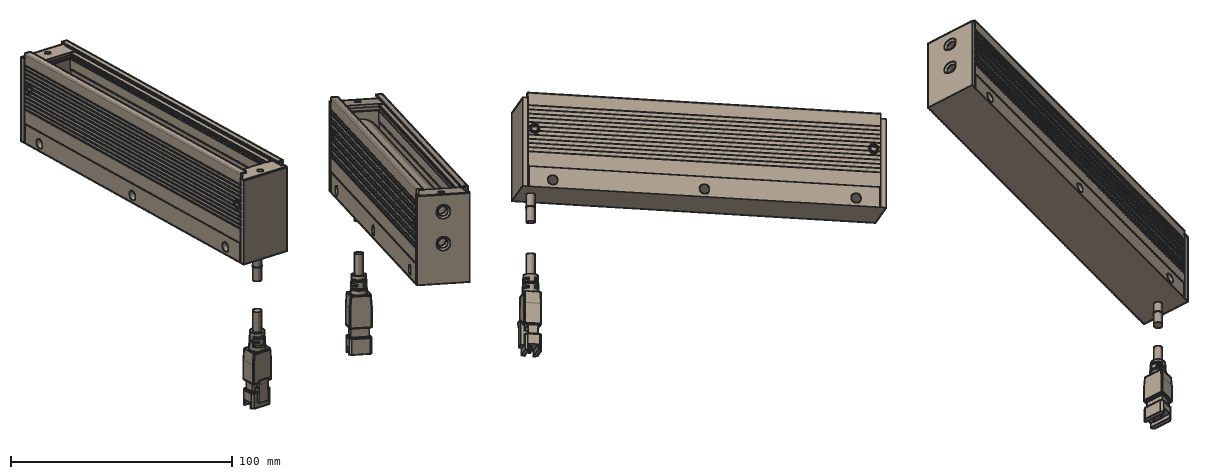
import cadquery as cq
import math

bar_width = 24.5
half_width = bar_width / 2
flank_inset = 0.2
flank_y = half_width - flank_inset
bar_height = 44.5
profile_half_length = 81.5

plate_thickness = 2.5
plate_height = 42.0
plate_outer_x = profile_half_length + plate_thickness
window_half_length = 74.3
plate_edge_chamfer = 0.3

lip_edge_y = 8.9
lip_thickness = 0.7
lip_corner_radius = 0.5
post_inner_y = 11.0
window_half_width = 8.4
rail_top_z = 41.7
rail_thickness = 1.0
cover_slot_height = 1.8
cover_slot_depth = 1.3
rail_bottom_z = rail_top_z - rail_thickness
cover_slot_floor_z = rail_bottom_z - cover_slot_height

lens_radius = 9.0
lens_top_z = 35.3
lens_seat_z = 33.6
lens_seat_relief = 0.3

groove_count = 6
groove_band_bottom = 16.6
groove_band_height = 21.8
groove_width = groove_band_height / (2 * groove_count - 1)
groove_depth = 0.5

strip_height = 9.5
strip_end_gap = 0.5
mount_hole_diameter = 4.5
mount_hole_spacing = 70.0
mount_hole_z = 3.7

plate_hole_diameter = 4.5
plate_hole_mouth = 6.5
plate_hole_mouth_depth = 1.0
plate_hole_depth = 5.0
plate_hole_heights = (18.8, 33.8)
top_hole_diameter = 2.7
top_hole_depth = 5.0
top_hole_x = 80.0
screw_x = 78.3
screw_z = 27.7
screw_hole_diameter = 4.4
screw_hole_depth = 1.7
screw_core_diameter = 3.0
screw_core_height = 1.3

cable_x = 77.8
cable_diameter = 4.0
stub_end_z = -13.1
collar_diameter = 4.4
collar_thickness = 0.2
collar_z = -6.0

lead_top_z = -28.4
relief_top_z = -38.5
grip_top_z = -47.2
grip_taper_end_z = -52.8
grip_bottom_z = -62.8
plug_top_z = -67.0
plug_bottom_z = bar_height - 119.5

relief_top_diameter = 6.7
relief_bottom_diameter = 7.7
relief_slot_height = 1.0
relief_slot_tops = (-40.2, -42.2, -44.2)
relief_web = 2.7

grip_length_x = 8.0
grip_top_width = 9.5
grip_width = 10.5
grip_edge_chamfer = 0.5
neck_length_x = 4.5
neck_width = 8.5
plug_offset = 0.3
plug_x = cable_x - plug_offset
plug_length_x = 7.5
plug_width = 10.5
plug_edge_chamfer = 1.0
plug_rim_chamfer = 0.5
plug_slot_length_x = 4.0
plug_slot_height = 2.7
contact_thickness = 0.5
contact_width = 5.0
contact_height = 2.0

lever_inner_x = plug_x + plug_length_x / 2
lever_thickness = 1.5
lever_width = 5.0
lever_tip_z = -60.6
lever_bottom_z = -72.0
lever_tip_reach = 0.5
lever_link_height = 1.7


def block(x_range, y_range, z_range):
    """Box spanning the given (low, high) limits along X, Y and Z."""
    sizes = [high - low for low, high in (x_range, y_range, z_range)]
    corner = (x_range[0], y_range[0], z_range[0])
    return cq.Workplane("XY").box(*sizes, centered=False).translate(corner)


def upright(diameter, z_low, z_high, x):
    """Vertical round bar at the given X, on the Y = 0 plane."""
    base = cq.Workplane("XY", origin=(x, 0, z_low))
    return base.circle(diameter / 2).extrude(z_high - z_low)


def profile():
    """Extruded section: lips, rails and cover slots above a window floored by the lens."""
    lens_edge_y = window_half_width + lens_seat_relief
    lens_edge_drop = lens_radius - math.sqrt(lens_radius**2 - lens_edge_y**2)
    slot_outer_y = window_half_width + cover_slot_depth
    right_side = [
        (lens_edge_y, lens_top_z - lens_edge_drop),
        (lens_edge_y, lens_seat_z),
        (window_half_width, lens_seat_z),
        (window_half_width, cover_slot_floor_z),
        (slot_outer_y, cover_slot_floor_z),
        (slot_outer_y, rail_bottom_z),
        (window_half_width, rail_bottom_z),
        (window_half_width, rail_top_z),
        (post_inner_y, rail_top_z),
        (post_inner_y, bar_height - lip_thickness),
        (lip_edge_y, bar_height - lip_thickness),
        (lip_edge_y, bar_height),
        (flank_y, bar_height),
        (flank_y, 0),
    ]
    left_side = [(-y, z) for y, z in reversed(right_side)]
    section = cq.Workplane("YZ", origin=(-profile_half_length, 0, 0))
    section = section.polyline(right_side + left_side)
    section = section.threePointArc((0, lens_top_z), right_side[0]).close()
    body = section.extrude(2 * profile_half_length)
    for side in (-1, 1):
        corner = cq.selectors.NearestToPointSelector((0, side * flank_y, bar_height))
        body = body.edges(corner).fillet(lip_corner_radius)
    return body


def side_grooves(side):
    """Lengthwise grooves on the flank at +Y (side = 1) or -Y (side = -1)."""
    y_range = sorted((side * flank_y, side * (flank_y - groove_depth)))
    x_range = (-profile_half_length, profile_half_length)
    grooves = cq.Workplane("XY")
    for index in range(groove_count):
        low = groove_band_bottom + 2 * index * groove_width
        grooves = grooves.add(block(x_range, y_range, (low, low + groove_width)))
    return grooves.combine()


def end_block(end):
    """Block closing the profile at one end, with an end plate chamfered along its outer top edge."""
    core_x = sorted((end * window_half_length, end * profile_half_length))
    plate_x = sorted((end * profile_half_length, end * plate_outer_x))
    plate = block(plate_x, (-half_width, half_width), (0, plate_height))
    outer_face = ">X" if end > 0 else "<X"
    plate = plate.faces(outer_face).edges(">Z").chamfer(plate_edge_chamfer)
    core = block(core_x, (-post_inner_y, post_inner_y), (0, plate_height))
    return core.union(plate)


def end_slot(end):
    """Cover slot carried on into the inner face of an end block."""
    x_range = sorted((end * window_half_length, end * (window_half_length + cover_slot_depth)))
    slot_outer_y = window_half_width + cover_slot_depth
    return block(x_range, (-slot_outer_y, slot_outer_y), (cover_slot_floor_z, rail_bottom_z))


def mounting_strip(side):
    """Strip standing proud of a flank, stopping short of both end plates."""
    x_limit = profile_half_length - strip_end_gap
    y_range = sorted((side * half_width, side * flank_y))
    return block((-x_limit, x_limit), y_range, (0, strip_height))


def screw_recess(end, side):
    """Round recess on a flank with a raised screw core at its centre."""
    centre = (end * screw_x, side * flank_y, screw_z)
    plane = cq.Plane(origin=centre, xDir=(1, 0, 0), normal=(0, -side, 0))
    recess = cq.Workplane(plane).circle(screw_hole_diameter / 2).extrude(screw_hole_depth)
    core = cq.Workplane(plane).workplane(offset=screw_hole_depth - screw_core_height)
    return recess.cut(core.circle(screw_core_diameter / 2).extrude(screw_core_height))


def plate_hole(z):
    """Blind hole with a conical mouth, entering the -X end plate."""
    face = cq.Workplane("YZ", origin=(-plate_outer_x, 0, z))
    hole = face.circle(plate_hole_diameter / 2).extrude(plate_hole_depth)
    mouth = face.circle(plate_hole_mouth / 2).workplane(offset=plate_hole_mouth_depth)
    return hole.union(mouth.circle(plate_hole_diameter / 2).loft())


def make_light_bar():
    body = profile()
    for side in (-1, 1):
        body = body.cut(side_grooves(side)).union(mounting_strip(side))
    for end in (-1, 1):
        body = body.union(end_block(end)).cut(end_slot(end))
        top_hole = upright(top_hole_diameter, plate_height - top_hole_depth, plate_height, end * top_hole_x)
        body = body.cut(top_hole)
        for side in (-1, 1):
            body = body.cut(screw_recess(end, side))
    for z in plate_hole_heights:
        body = body.cut(plate_hole(z))
    for x in (-mount_hole_spacing, 0, mount_hole_spacing):
        drill = cq.Workplane("XZ", origin=(x, half_width, mount_hole_z))
        body = body.cut(drill.circle(mount_hole_diameter / 2).extrude(bar_width))
    body = body.union(upright(collar_diameter, collar_z - collar_thickness, collar_z, cable_x))
    return body.union(upright(cable_diameter, stub_end_z, 0, cable_x))


def centred_block(x, length_x, width, z_low, z_high):
    """Box centred on the given X and on Y = 0."""
    return block((x - length_x / 2, x + length_x / 2), (-width / 2, width / 2), (z_low, z_high))


def strain_relief():
    """Tapered sleeve with slots that open in turn toward X and toward Y."""
    base = cq.Workplane("XY", origin=(cable_x, 0, grip_top_z)).circle(relief_bottom_diameter / 2)
    sleeve = base.workplane(offset=relief_top_z - grip_top_z).circle(relief_top_diameter / 2).loft()
    reach = relief_bottom_diameter
    for index, top in enumerate(relief_slot_tops):
        low = top - relief_slot_height
        slot = centred_block(cable_x, reach, reach, low, top)
        if index % 2 == 0:
            web = centred_block(cable_x, relief_web, reach, low, top)
        else:
            web = centred_block(cable_x, reach, relief_web, low, top)
        sleeve = sleeve.cut(slot.cut(web))
    return sleeve.union(upright(cable_diameter, grip_top_z, lead_top_z, cable_x))


def grip():
    """Moulded grip whose Y faces lean in toward the cable, with chamfered edges."""
    outline = [
        (-grip_top_width / 2, grip_top_z),
        (grip_top_width / 2, grip_top_z),
        (grip_width / 2, grip_taper_end_z),
        (grip_width / 2, grip_bottom_z),
        (-grip_width / 2, grip_bottom_z),
        (-grip_width / 2, grip_taper_end_z),
    ]
    start = cq.Workplane("YZ", origin=(cable_x - grip_length_x / 2, 0, 0))
    body = start.polyline(outline).close().extrude(grip_length_x)
    return body.faces("<X or >X or <Z").chamfer(grip_edge_chamfer)


def plug():
    """Chamfered plug with a slot across its lower end and a contact blade inside."""
    body = centred_block(plug_x, plug_length_x, plug_width, plug_bottom_z, plug_top_z)
    body = body.edges("|Z").chamfer(plug_edge_chamfer)
    body = body.faces(">Z").chamfer(plug_rim_chamfer)
    slot_top = plug_bottom_z + plug_slot_height
    body = body.cut(centred_block(plug_x, plug_slot_length_x, plug_width, plug_bottom_z, slot_top))
    contact_bottom = slot_top - contact_height
    return body.union(centred_block(cable_x, contact_thickness, contact_width, contact_bottom, slot_top))


def lever():
    """Latch lever joined to the neck by a short link, its tip leaning outward."""
    outer_x = lever_inner_x + lever_thickness
    link_top = plug_top_z + lever_link_height
    outline = [
        (cable_x, plug_top_z),
        (cable_x, link_top),
        (lever_inner_x, link_top),
        (lever_inner_x, grip_bottom_z),
        (outer_x, lever_tip_z),
        (outer_x + lever_tip_reach, lever_tip_z),
        (outer_x, grip_bottom_z),
        (outer_x, lever_bottom_z),
        (lever_inner_x, lever_bottom_z),
        (lever_inner_x, plug_top_z),
    ]
    return cq.Workplane("XZ").polyline(outline).close().extrude(lever_width / 2, both=True)


def make_connector():
    neck = centred_block(plug_x, neck_length_x, neck_width, plug_top_z, grip_bottom_z)
    return strain_relief().union(grip()).union(neck).union(plug()).union(lever())


light_bar = make_light_bar()
connector = make_connector()
result = cq.Compound.makeCompound([light_bar.val(), connector.val()])